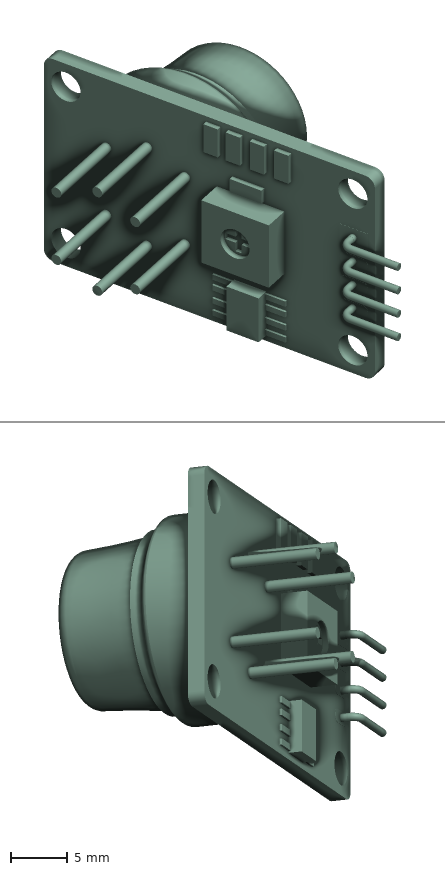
import cadquery as cq
import math


board_length = 34.95
board_height = 22.0
board_thickness = 1.58
board_corner_radius = 1.0
mount_hole_diameter = 3.1
mount_hole_x = 15.15
mount_hole_z = 8.5

sensor_x = -6.55
base_radius = 9.5
collar_radius = 8.35
shoulder_start = 4.62
shoulder_mid_radius = 9.1
shoulder_mid = 5.1
shoulder_end = 5.95
collar_top = 6.55
dome_foot_radius = 7.9
dome_sag = 0.08
dome_top_radius = 7.2
dome_round = 1.15
sensor_height = 14.22
leg_diameter = 1.05
leg_reach = 8.2
leg_ring_z = -0.1
middle_leg_offset = 5.35
side_leg_offset_z = 3.65
left_leg_x = -10.85
right_leg_x = -2.55

pin_count = 4
pin_pitch = 2.55
pin_row_z = -0.05
pin_x = 15.2
pin_diameter = 0.75
pin_axis_depth = 1.6
pin_bend_radius = 0.8
pin_back_reach = 0.5
pin_overhang = 3.6
solder_foot_diameter = 1.0
solder_back_height = 0.27
sleeve_diameter = 0.77
sleeve_length = 0.45
pad_thickness = 0.02
pad_x = 15.25
pad_length = 2.95
round_pad_width = 1.25
round_pad_corner_radius = 0.55
square_pad_width = 1.95

chip_thickness = 0.45
upright_chip_width = 1.5
upright_chip_length = 3.05
upright_chip_z = 8.9
upright_chip_xs = (0.42, 2.77, 5.3, 7.9)
flat_chip_width = 3.35
flat_chip_height = 1.43
flat_chip_x = 4.12
flat_chip_z = 4.8

trimmer_x = 4.35
trimmer_z = 0.42
trimmer_width = 7.13
trimmer_height = 6.8
trimmer_depth = 2.55
screw_recess_diameter = 3.1
screw_recess_depth = 0.58
cross_slot_depth = 0.4
cross_arm_width = 0.65
cross_length_x = 2.77
cross_length_z = 2.45

ic_x = 4.3
ic_z = -8.0
ic_width = 3.4
ic_height = 4.78
ic_depth = 1.27
lead_span = 7.7
lead_width = 0.58
lead_thickness = 0.25
lead_zs = (-6.05, -7.2, -8.65, -9.95)


def front_block(x, z, width, height, depth):
    """Block standing out of the component face, centred at (x, z)."""
    return cq.Workplane("XY").box(width, depth, height).translate((x, -depth / 2, z))


def rod_y(x, z, diameter, y_start, y_end):
    """Round rod along Y between two Y positions."""
    start = cq.Vector(x, y_start, z)
    rod = cq.Solid.makeCylinder(diameter / 2, y_end - y_start, start, cq.Vector(0, 1, 0))
    return cq.Workplane(rod)


leg_points = [(sensor_x, leg_ring_z + side * middle_leg_offset) for side in (-1, 1)]
leg_points += [
    (x, leg_ring_z + side * side_leg_offset_z) for x in (left_leg_x, right_leg_x) for side in (-1, 1)
]

pin_zs = [pin_row_z + pin_pitch * ((pin_count - 1) / 2 - i) for i in range(pin_count)]


def make_pads():
    """Thin solder pads: a square-ended one for the top pin, rounded ones for the rest."""
    pads = front_block(pad_x, pin_zs[0], pad_length, square_pad_width, pad_thickness)
    for z in pin_zs[1:]:
        pad = front_block(pad_x, z, pad_length, round_pad_width, pad_thickness)
        pads = pads.union(pad.edges("|Y").fillet(round_pad_corner_radius))
    return pads


def make_trimmer():
    """Trimmer block with a round recess and a cross slot sunk into the recess floor."""
    solid_depth = trimmer_depth - screw_recess_depth
    slot_floor_depth = solid_depth - cross_slot_depth
    trimmer = front_block(trimmer_x, trimmer_z, trimmer_width, trimmer_height, trimmer_depth)
    recess = rod_y(trimmer_x, trimmer_z, screw_recess_diameter, -trimmer_depth, -solid_depth)
    cross = front_block(trimmer_x, trimmer_z, cross_length_x, cross_arm_width, solid_depth)
    cross = cross.union(front_block(trimmer_x, trimmer_z, cross_arm_width, cross_length_z, solid_depth))
    below_slot = front_block(trimmer_x, trimmer_z, trimmer_width, trimmer_height, slot_floor_depth)
    return trimmer.cut(recess).cut(cross.cut(below_slot))


def make_ic():
    """Integrated circuit: a body crossed by flat leads on both sides."""
    ic = front_block(ic_x, ic_z, ic_width, ic_height, ic_depth)
    for z in lead_zs:
        ic = ic.union(front_block(ic_x, z, lead_span, lead_width, lead_thickness))
    return ic


def make_board():
    """Circuit board with its soldered components, as one solid."""
    board = (
        cq.Workplane("XY")
        .box(board_length, board_thickness, board_height)
        .translate((0, board_thickness / 2, 0))
        .edges("|Y")
        .fillet(board_corner_radius)
    )
    board = board.union(make_pads()).union(make_trimmer()).union(make_ic())
    for x in upright_chip_xs:
        chip = front_block(x, upright_chip_z, upright_chip_width, upright_chip_length, chip_thickness)
        board = board.union(chip)
    flat_chip = front_block(flat_chip_x, flat_chip_z, flat_chip_width, flat_chip_height, chip_thickness)
    board = board.union(flat_chip)

    holes = [(sx * mount_hole_x, sz * mount_hole_z, mount_hole_diameter) for sx in (-1, 1) for sz in (-1, 1)]
    holes += [(x, z, leg_diameter) for x, z in leg_points]
    holes += [(pin_x, z, pin_diameter) for z in pin_zs]
    for x, z, diameter in holes:
        board = board.cut(rod_y(x, z, diameter, -pad_thickness, board_thickness))
    return board


def make_sensor():
    """Revolved sensor can on the back face, with legs that pass through the board."""
    quarter = math.sqrt(0.5)
    dome_round_start = sensor_height - dome_round
    flat_radius = dome_top_radius - dome_round
    can = (
        cq.Workplane("XY")
        .lineTo(base_radius, 0)
        .lineTo(base_radius, shoulder_start)
        .spline(
            [(shoulder_mid_radius, shoulder_mid), (collar_radius, shoulder_end)],
            tangents=[(0, 1), (0, 1)],
            includeCurrent=True,
        )
        .lineTo(collar_radius, collar_top)
        .lineTo(dome_foot_radius, collar_top)
        .threePointArc(
            ((dome_foot_radius + dome_top_radius) / 2 - dome_sag, (collar_top + dome_round_start) / 2),
            (dome_top_radius, dome_round_start),
        )
        .threePointArc(
            (flat_radius + dome_round * quarter, dome_round_start + dome_round * quarter),
            (flat_radius, sensor_height),
        )
        .lineTo(0, sensor_height)
        .close()
        .revolve(360, (0, 0, 0), (0, 1, 0))
        .translate((sensor_x, board_thickness, 0))
    )
    for x, z in leg_points:
        can = can.union(rod_y(x, z, leg_diameter, -leg_reach, board_thickness))
    return can


def make_pin(z):
    """Round header pin that goes through the board and bends towards +X."""
    back_end = board_thickness + pin_back_reach
    tip_x = board_length / 2 + pin_overhang
    bend_inset = pin_bend_radius * (1 - math.sqrt(0.5))
    path = (
        cq.Workplane("XY", origin=(0, 0, z))
        .moveTo(pin_x, back_end)
        .lineTo(pin_x, pin_bend_radius - pin_axis_depth)
        .threePointArc(
            (pin_x + bend_inset, bend_inset - pin_axis_depth),
            (pin_x + pin_bend_radius, -pin_axis_depth),
        )
        .lineTo(tip_x, -pin_axis_depth)
    )
    section = cq.Workplane("XZ", origin=(pin_x, back_end, z)).circle(pin_diameter / 2)
    return section.sweep(path)


def make_soldered_pin(z):
    """Header pin with a short sleeve on the front and a solder cone on the back."""
    cone = cq.Solid.makeCone(
        solder_foot_diameter / 2,
        pin_diameter / 2,
        solder_back_height,
        cq.Vector(pin_x, board_thickness, z),
        cq.Vector(0, 1, 0),
    )
    sleeve = rod_y(pin_x, z, sleeve_diameter, -sleeve_length, -pad_thickness)
    return make_pin(z).union(sleeve).union(cq.Workplane(cone))


board = make_board()
sensor = make_sensor()
pins = [make_soldered_pin(pin_zs[0])] + [make_pin(z) for z in pin_zs[1:]]

bodies = [board, sensor] + pins
result = cq.Compound.makeCompound([solid for body in bodies for solid in body.solids().vals()])